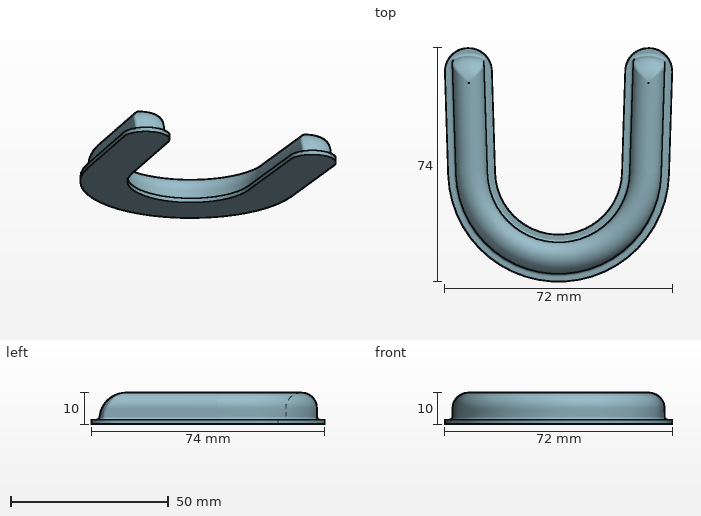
import cadquery as cq
import math

overall_x = 72.0
overall_y = 74.0
height = 10.0
flange_half_width = 7.5
flange_thickness = 1.4
tube_radius = height / 2
bend_radius = 27.5
leg_tilt = 1.8
end_setback = 2.5
end_plan_radius = 10.5
foot_fillet = 0.9
crease_fillet = 0.9
selection_gap = 0.1

tilt = math.radians(leg_tilt)
bend_end = (bend_radius * math.cos(tilt), -bend_radius * math.sin(tilt))
leg_tip_x = overall_x / 2 - flange_half_width
leg_tip_y = overall_y - bend_radius - 2 * flange_half_width
leg_length = math.hypot(leg_tip_x - bend_end[0], leg_tip_y - bend_end[1])
dome_radius = height - flange_thickness
dome_center = leg_length + flange_half_width - end_setback - end_plan_radius


def tube_section(plane):
    """Arch section: straight sides under a half-round crown."""
    return (
        cq.Workplane(plane)
        .moveTo(-tube_radius, 0)
        .lineTo(tube_radius, 0)
        .lineTo(tube_radius, height - tube_radius)
        .threePointArc((0, height), (-tube_radius, height - tube_radius))
        .close()
    )


def place_right_leg(shape):
    """Move a leg built along +Y from the origin onto the right end of the bend."""
    return shape.rotate((0, 0, 0), (0, 0, 1), -leg_tilt).translate((*bend_end, 0))


def bend(section):
    """Revolve a section, upright on the XZ plane, around the lower part of the U."""
    profile = cq.Face.makeFromWires(section.translate((bend_radius, 0, 0)).val())
    sweep = 180 - 2 * leg_tilt
    ring = cq.Solid.revolve(profile, sweep, cq.Vector(0, 0, 0), cq.Vector(0, 0, 1))
    return cq.Workplane(ring).rotate((0, 0, 0), (0, 0, 1), 180 + leg_tilt)


def leg_tube():
    """Arched leg whose free end is rounded in plan and rolls down from the crown."""
    tube = tube_section("XZ").extrude(-(leg_length + flange_half_width))
    dome = (
        cq.Workplane("XY")
        .circle(end_plan_radius)
        .extrude(height)
        .faces(">Z")
        .edges()
        .fillet(dome_radius)
        .translate((0, dome_center, 0))
    )
    dome_top = dome_center + end_plan_radius - dome_radius
    box_width = 2 * end_plan_radius
    shank = cq.Workplane("XY").box(box_width, dome_top, height, centered=(True, False, False))
    leg = tube.intersect(shank.union(dome))
    creases = cq.selectors.BoxSelector(
        (-box_width, dome_top, flange_thickness + selection_gap),
        (box_width, leg_length + flange_half_width, height),
    )
    return leg.edges(creases).fillet(crease_fillet)


def leg_flange():
    strip = cq.Workplane("XY").rect(2 * flange_half_width, leg_length).extrude(flange_thickness)
    tip = cq.Workplane("XY").circle(flange_half_width).extrude(flange_thickness)
    return strip.translate((0, leg_length / 2, 0)).union(tip.translate((0, leg_length, 0)))


def both_legs(right_leg):
    right = place_right_leg(right_leg)
    return right.union(right.mirror("YZ"))


flange_section = cq.Workplane("XZ").rect(2 * flange_half_width, flange_thickness)
flange_bend = bend(flange_section.translate((0, 0, flange_thickness / 2)))
flange = flange_bend.union(both_legs(leg_flange()))
tube = bend(tube_section("XZ")).union(both_legs(leg_tube()))

part = flange.union(tube)
shelf = part.faces(cq.selectors.BoxSelector(
    (-overall_x, -overall_y, flange_thickness - selection_gap),
    (overall_x, overall_y, flange_thickness + selection_gap),
))
foot_edges = [edge for face in shelf.vals() for wire in face.innerWires() for edge in wire.Edges()]
result = part.newObject(foot_edges).fillet(foot_fillet)